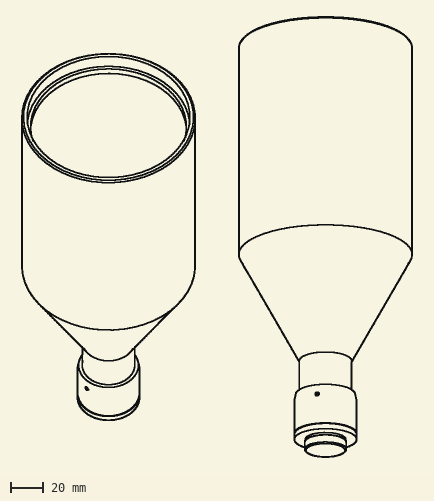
import cadquery as cq
import math

total_height = 263.0
thread_chamfer = 0.8
thread_top = 5.5
collar_bottom = 7.0
groove_height = 10.8
taper_bottom = 32.3
collar_top = 36.3
neck_top = 58.0
cone_top = 127.2

thread_diameter = 25.5
relief_diameter = 24.7
collar_diameter = 38.0
taper_top_diameter = 36.5
neck_diameter = 32.0
barrel_diameter = 106.0

groove_width = 0.3
groove_depth = 0.3

rim_chamfer = 1.0

recess_diameter = 99.5
recess_depth = 9.0
lens_diameter = 95.2
lens_edge_depth = 13.1
lens_rise = 8.0

screw_diameter = 2.4
screw_depth = 2.5
screw_height = 30.0


def cylinder(diameter, bottom, top):
    """Solid cylinder on the Z axis between two heights."""
    return cq.Workplane("XY").workplane(offset=bottom).circle(diameter / 2).extrude(top - bottom)


def cone(bottom_diameter, top_diameter, bottom, top):
    """Solid frustum on the Z axis between two heights."""
    return (
        cq.Workplane("XY").workplane(offset=bottom).circle(bottom_diameter / 2)
        .workplane(offset=top - bottom).circle(top_diameter / 2)
        .loft(ruled=True)
    )


def make_mount():
    """Thread, relief and the grooved collar with its tapered top."""
    thread = cylinder(thread_diameter, 0, thread_top).faces("<Z").chamfer(thread_chamfer)
    relief = cylinder(relief_diameter, thread_top, collar_bottom)
    collar = cylinder(collar_diameter, collar_bottom, taper_bottom)
    taper = cone(collar_diameter, taper_top_diameter, taper_bottom, collar_top)
    return thread.union(relief).union(collar).union(taper).cut(make_groove())


def make_groove():
    """Ring removed from the collar surface."""
    bottom = groove_height - groove_width / 2
    top = groove_height + groove_width / 2
    core = cylinder(collar_diameter - 2 * groove_depth, bottom, top)
    return cylinder(barrel_diameter, bottom, top).cut(core)


def make_housing():
    """Neck, funnel and barrel, with the rim chamfered on the outside."""
    neck = cylinder(neck_diameter, collar_top, neck_top)
    funnel = cone(neck_diameter, barrel_diameter, neck_top, cone_top)
    barrel = cylinder(barrel_diameter, cone_top, total_height).faces(">Z").chamfer(rim_chamfer)
    return neck.union(funnel).union(barrel)


def make_recess():
    """Stepped bore whose floor is the spherical crown of the lens."""
    lens_edge = total_height - lens_edge_depth
    lens_apex = lens_edge + lens_rise
    ledge = total_height - recess_depth
    lens_radius = lens_diameter / 2
    sphere_radius = (lens_radius**2 + lens_rise**2) / (2 * lens_rise)
    middle_radius = lens_radius / 2
    middle_drop = sphere_radius - math.sqrt(sphere_radius**2 - middle_radius**2)
    return (
        cq.Workplane("XZ")
        .moveTo(0, lens_apex)
        .threePointArc((middle_radius, lens_apex - middle_drop), (lens_radius, lens_edge))
        .lineTo(lens_radius, ledge)
        .lineTo(recess_diameter / 2, ledge)
        .lineTo(recess_diameter / 2, total_height)
        .lineTo(0, total_height)
        .close()
        .revolve()
    )


def make_screw_hole():
    """Blind radial hole entering the collar from -Y."""
    return (
        cq.Workplane("XZ", origin=(0, -collar_diameter / 2 + screw_depth, screw_height))
        .circle(screw_diameter / 2)
        .extrude(2 * screw_depth)
    )


result = make_mount().union(make_housing()).cut(make_recess()).cut(make_screw_hole())